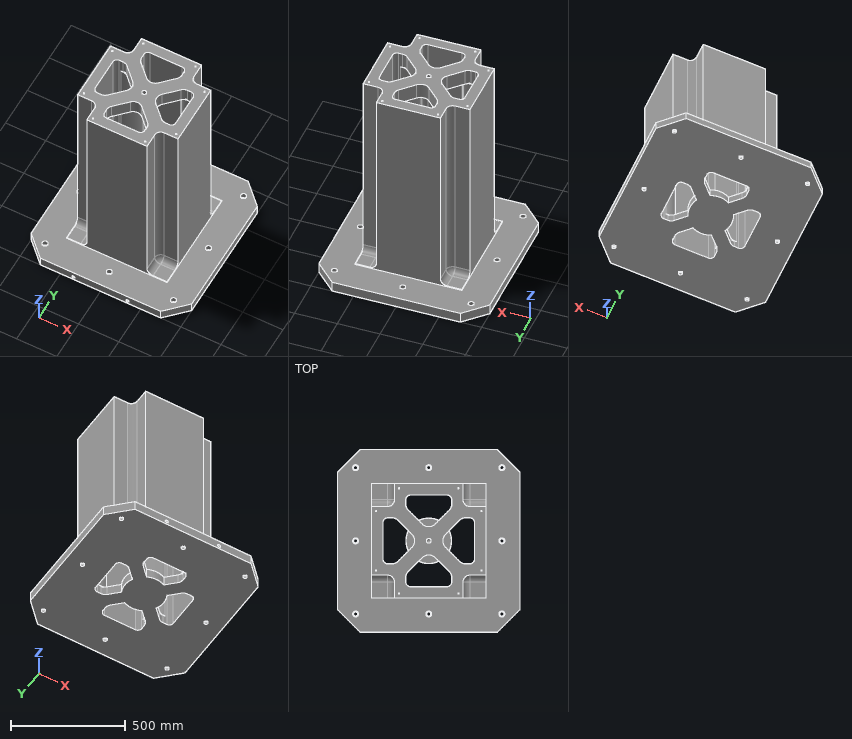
import cadquery as cq
import math

base_side = 800.0
base_thickness = 50.0
base_corner_cut = 100.0
bolt_spacing = 320.0
bolt_hole_diameter = 18.0
bolt_bore_diameter = 26.0
bolt_bore_depth = 30.0
lift_hole_diameter = 14.0
lift_hole_offset = 135.0
lift_hole_height = 18.0
lift_hole_depth = 30.0

total_height = 1000.0
column_side = 500.0
notch_side = 100.0
notch_floor_rise = 5.0
notch_fillet = 30.0

wall = 50.0
top_plate_thickness = 75.0
web_width = 64.0
hollow_corner_fillet = 20.0
web_shoulder_fillet = 35.0
web_apex_fillet = 40.0
hollow_inner_fillet = 70.0
hub_diameter = 200.0

center_hole_diameter = 21.0
center_hole_depth = 40.0
drill_tip_angle = 118.0
pin_hole_diameter = 5.0
pin_hole_depth = 10.0
pin_edge_distance = 20.0

hollow_reach = column_side / 2 - wall
arm_half_width = column_side / 2 - notch_side - wall
column_height = total_height - base_thickness
pin_far = column_side / 2 - pin_edge_distance
pin_near = column_side / 2 - notch_side - pin_edge_distance


def make_base():
    plate = cq.Workplane("XY").box(base_side, base_side, base_thickness, centered=(True, True, False))
    return plate.edges("|Z").chamfer(base_corner_cut)


def repeat_on_four_sides(body):
    """The body together with its copies turned by quarter turns about Z."""
    pattern = body
    for turn in (90, 180, 270):
        pattern = pattern.union(body.rotate((0, 0, 0), (0, 0, 1), turn))
    return pattern


def make_notch():
    """Corner recess of the column, with its inner and floor edges rounded."""
    inner = column_side / 2 - notch_side
    return (
        cq.Workplane("XY", origin=(inner, inner, base_thickness + notch_floor_rise))
        .box(notch_side, notch_side, column_height, centered=False)
        .edges("(<X and <Y) or (<Z and <X) or (<Z and <Y)")
        .fillet(notch_fillet)
    )


def make_column():
    block = (
        cq.Workplane("XY", origin=(0, 0, base_thickness))
        .box(column_side, column_side, column_height, centered=(True, True, False))
    )
    return block.cut(repeat_on_four_sides(make_notch()))


def make_hollow():
    """Cross-shaped cavity between the base plate and the top plate."""
    height = column_height - top_plate_thickness
    length = 2 * hollow_reach
    width = 2 * arm_half_width
    plane = cq.Workplane("XY", origin=(0, 0, base_thickness))
    along_x = plane.box(length, width, height, centered=(True, True, False))
    along_y = plane.box(width, length, height, centered=(True, True, False))
    cross = along_x.union(along_y)
    cross = cross.edges("|Z and (not (>X or <X or >Y or <Y))").fillet(hollow_inner_fillet)
    return cross.edges("|Z and (>X or <X or >Y or <Y)").fillet(hollow_corner_fillet)


def make_windows(bottom, height):
    """Four five-sided openings that leave diagonal webs between them."""
    apex = web_width / math.sqrt(2)
    shoulder = apex + arm_half_width
    outline = [
        (0, apex),
        (arm_half_width, shoulder),
        (arm_half_width, hollow_reach),
        (-arm_half_width, hollow_reach),
        (-arm_half_width, shoulder),
    ]
    window = cq.Workplane("XY", origin=(0, 0, bottom)).polyline(outline).close().extrude(height)
    window = window.edges("|Z").edges(">>Y[-2]").fillet(web_shoulder_fillet)
    window = window.edges("|Z and <Y").fillet(web_apex_fillet)
    window = window.edges("|Z and >Y").fillet(hollow_corner_fillet)
    return repeat_on_four_sides(window)


def make_base_windows():
    """Openings through the base plate, interrupted by the round hub."""
    hub = cq.Workplane("XY").circle(hub_diameter / 2).extrude(base_thickness)
    return make_windows(0, base_thickness).cut(hub)


def make_bolt_holes():
    """Through holes around the base plate, counterbored from above."""
    steps = (-bolt_spacing, 0, bolt_spacing)
    points = [(x, y) for x in steps for y in steps if (x, y) != (0, 0)]
    shanks = cq.Workplane("XY").pushPoints(points).circle(bolt_hole_diameter / 2).extrude(base_thickness)
    bores = (
        cq.Workplane("XY", origin=(0, 0, base_thickness))
        .pushPoints(points)
        .circle(bolt_bore_diameter / 2)
        .extrude(-bolt_bore_depth)
    )
    return shanks.union(bores)


def make_drilled_hole(diameter, depth):
    """Blind hole going down from the origin and ending in a drill tip."""
    radius = diameter / 2
    tip = radius / math.tan(math.radians(drill_tip_angle / 2))
    return (
        cq.Workplane("XZ")
        .polyline([(0, 0), (radius, 0), (radius, -depth), (0, -depth - tip)])
        .close()
        .revolve(360, (0, 0, 0), (0, 1, 0))
    )


def make_lift_holes():
    """Two blind holes in the front edge of the base plate."""
    hole = make_drilled_hole(lift_hole_diameter, lift_hole_depth).rotate((0, 0, 0), (1, 0, 0), 90)
    left = hole.translate((-lift_hole_offset, -base_side / 2, lift_hole_height))
    return left.union(left.mirror("YZ"))


def make_center_hole():
    """Blind hole in the middle of the top face."""
    return make_drilled_hole(center_hole_diameter, center_hole_depth).translate((0, 0, total_height))


def make_pin_holes():
    """Pairs of small blind holes along each side of the top face."""
    near_far = [(pin_near, pin_far), (pin_far, pin_near)]
    points = [(x_side * x, y_side * y) for x, y in near_far for x_side in (-1, 1) for y_side in (-1, 1)]
    plane = cq.Workplane("XY", origin=(0, 0, total_height))
    return plane.pushPoints(points).circle(pin_hole_diameter / 2).extrude(-pin_hole_depth)


result = make_base().union(make_column())
cuts = (
    make_hollow(),
    make_windows(total_height - top_plate_thickness, top_plate_thickness),
    make_base_windows(),
    make_bolt_holes(),
    make_lift_holes(),
    make_pin_holes(),
    make_center_hole(),
)
for cut in cuts:
    result = result.cut(cut)